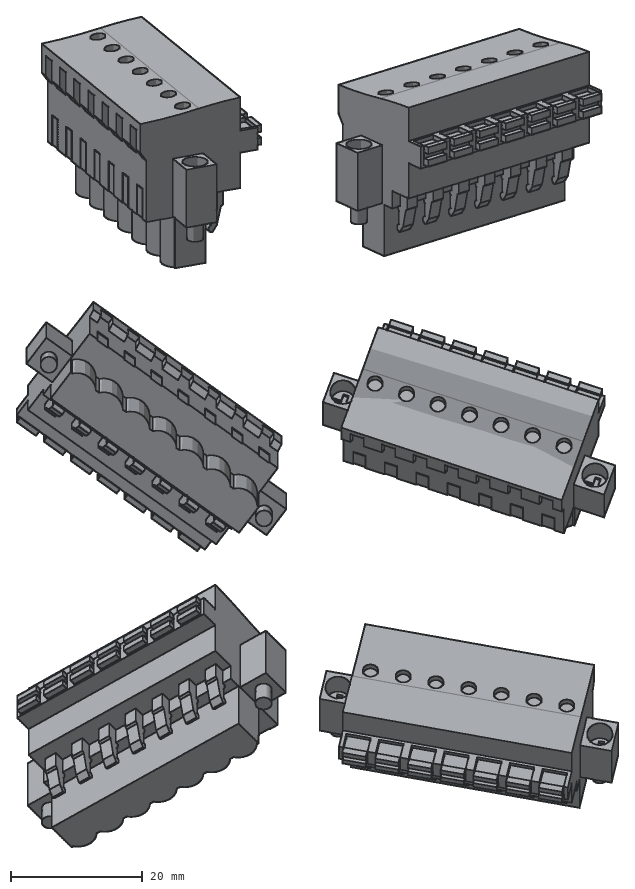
import cadquery as cq

POLES = 7
PITCH = 5.1
HOUSING_LENGTH = POLES * PITCH
TOTAL_LENGTH = 45.35

FRONT_Y = 1.0
REAR_Y = 16.8
FOOT_REAR_Y = 12.9
HOUSING_BOTTOM = 8.45
REAR_BOTTOM = 11.3
BEVEL_BOTTOM = 18.5
BEVEL_TOP = 19.95
TOP_FRONT_Z = 24.7
TOP_REAR_Z = 26.2
BEND_Y = 9.85
BEND_Z = 25.6
FRONT_SAG = 0.15

LEDGE_REAR_Y = 19.7
LEDGE_BOTTOM = 17.1
LEDGE_TOP = 20.75
POCKET_FRONT_Y = 17.25
BUTTON_WIDTH = 3.65
BUTTON_SIDE_GAP = 0.1
BUTTON_REAR_Y = 20.65
BUTTON_BOTTOM = 17.5
BUTTON_RECESS = 0.7
PRONG_HEIGHT = 1.15

OVERHANG_SLOT_WIDTH = 2.15
OVERHANG_SLOT_TOP = 23.22
FACE_SLOT_WIDTH = 2.0
FACE_SLOT_TOP = 13.35
FACE_SLOT_DEPTH = 0.15
TEST_HOLE_DIAMETER = 2.3
TEST_HOLE_Y = 8.25
TEST_HOLE_FLOOR = 24.05

PLUG_REAR_Y = 10.95
PLUG_FRONT_Y = 5.85
BARREL_FRONT_Y = 4.8
BARREL_WIDTH = 4.45

HOOK_WIDTH = 2.0
HOOK_REAR_Y = 14.6
HOOK_NOSE_Y = 12.3
HOOK_NOSE_BOTTOM = 8.15
HOOK_STEM_Y = 12.55
HOOK_STEM_TOP = 7.5
HOOK_STEM_BOTTOM = 5.35
HOOK_SHOULDER_Y = 14.25
HOOK_KNEE_Y = 13.55
HOOK_KNEE_Z = 5.2
HOOK_TIP_Y = 12.8
HOOK_TIP_Z = 4.15
HOOK_TIP_FRONT_Y = 12.2
HOOK_TIP_FRONT_Z = 4.55

FLANGE_FRONT_Y = 5.45
FLANGE_DEPTH = PITCH
FLANGE_BOTTOM = 8.57
FLANGE_TOP = 18.1
SCREW_X = (POLES + 1) * PITCH / 2
SCREW_Y = FLANGE_FRONT_Y + FLANGE_DEPTH / 2
SCREW_HEAD_DIAMETER = 3.85
SCREW_HEAD_TOP = 13.6
SCREW_HEAD_HEIGHT = 2.25
SHANK_DIAMETER = 2.5
SHANK_BOTTOM = 5.45
DRIVE_SLOT_WIDTH = 0.55
CROSS_WIDTH = 0.8
CROSS_LENGTH = 2.75
DRIVE_DEPTH = 0.7

POLE_XS = [(i - (POLES - 1) / 2) * PITCH for i in range(POLES)]
SIDES = (-1, 1)


def box(x_range, y_range, z_range):
    """Box between the given limits on each axis."""
    (x0, x1), (y0, y1), (z0, z1) = x_range, y_range, z_range
    return cq.Workplane("XY").box(x1 - x0, y1 - y0, z1 - z0, centered=False).translate((x0, y0, z0))


def centred_box(x, width, y_range, z_range):
    """Box of the given width centred on x."""
    return box((x - width / 2, x + width / 2), y_range, z_range)


def cylinder(x, y, diameter, z_bottom, z_top):
    """Upright cylinder."""
    return cq.Workplane("XY", origin=(x, y, z_bottom)).circle(diameter / 2).extrude(z_top - z_bottom)


def housing_shell():
    """Main block: front overhang with a bevel below, wavy top, rear ledge and stepped underside."""
    mid_front = (BEND_Y / 2, (TOP_FRONT_Z + BEND_Z) / 2 - FRONT_SAG)
    profile = (
        cq.Workplane("YZ")
        .moveTo(FRONT_Y, HOUSING_BOTTOM)
        .lineTo(FRONT_Y, BEVEL_BOTTOM)
        .lineTo(0, BEVEL_TOP)
        .lineTo(0, TOP_FRONT_Z)
        .threePointArc(mid_front, (BEND_Y, BEND_Z))
        .tangentArcPoint((REAR_Y, TOP_REAR_Z), relative=False)
        .lineTo(REAR_Y, LEDGE_TOP)
        .lineTo(LEDGE_REAR_Y, LEDGE_TOP)
        .lineTo(LEDGE_REAR_Y, LEDGE_BOTTOM)
        .lineTo(REAR_Y, LEDGE_BOTTOM)
        .lineTo(REAR_Y, REAR_BOTTOM)
        .lineTo(FOOT_REAR_Y, REAR_BOTTOM)
        .lineTo(FOOT_REAR_Y, HOUSING_BOTTOM)
        .close()
    )
    return profile.extrude(HOUSING_LENGTH / 2, both=True)


def plug_block():
    """Lower block whose front bulges into one rounded barrel per pole."""
    block = centred_box(0, HOUSING_LENGTH, (PLUG_FRONT_Y, PLUG_REAR_Y), (0, HOUSING_BOTTOM))
    for x in POLE_XS:
        barrel = (
            cq.Workplane("XY")
            .moveTo(x - BARREL_WIDTH / 2, PLUG_FRONT_Y)
            .threePointArc((x, BARREL_FRONT_Y), (x + BARREL_WIDTH / 2, PLUG_FRONT_Y))
            .close()
            .extrude(HOUSING_BOTTOM)
        )
        block = block.union(barrel)
    return block


def latch_hook(x):
    """Hook hanging from the rear step, tapering to a rounded tip that bends forward."""
    return (
        cq.Workplane("YZ", origin=(x - HOOK_WIDTH / 2, 0, 0))
        .moveTo(HOOK_REAR_Y, REAR_BOTTOM)
        .lineTo(HOOK_REAR_Y, HOUSING_BOTTOM)
        .lineTo(HOOK_SHOULDER_Y, HOOK_NOSE_BOTTOM)
        .lineTo(HOOK_KNEE_Y, HOOK_KNEE_Z)
        .lineTo(HOOK_TIP_Y, HOOK_TIP_Z)
        .threePointArc((HOOK_TIP_FRONT_Y, HOOK_TIP_FRONT_Z), (HOOK_STEM_Y, HOOK_STEM_BOTTOM))
        .lineTo(HOOK_STEM_Y, HOOK_STEM_TOP)
        .lineTo(HOOK_NOSE_Y, HOOK_NOSE_BOTTOM)
        .lineTo(HOOK_NOSE_Y, HOUSING_BOTTOM)
        .lineTo(FOOT_REAR_Y, HOUSING_BOTTOM)
        .lineTo(FOOT_REAR_Y, REAR_BOTTOM)
        .close()
        .extrude(HOOK_WIDTH)
    )


def screw_flange(side):
    """Block on one end of the housing that carries a screw."""
    x_limits = sorted((side * HOUSING_LENGTH / 2, side * TOTAL_LENGTH / 2))
    y_limits = (FLANGE_FRONT_Y, FLANGE_FRONT_Y + FLANGE_DEPTH)
    return box(x_limits, y_limits, (FLANGE_BOTTOM, FLANGE_TOP))


def screw_envelope(side, head_top):
    """Plain screw of shank and head, with the head carried up to the given height."""
    x = side * SCREW_X
    head_bottom = SCREW_HEAD_TOP - SCREW_HEAD_HEIGHT
    shank = cylinder(x, SCREW_Y, SHANK_DIAMETER, SHANK_BOTTOM, head_bottom)
    return shank.union(cylinder(x, SCREW_Y, SCREW_HEAD_DIAMETER, head_bottom, head_top))


def pole_cuts(x):
    """Everything cut from the housing at one pole."""
    overhang_slot = centred_box(x, OVERHANG_SLOT_WIDTH, (0, FRONT_Y), (BEVEL_BOTTOM, OVERHANG_SLOT_TOP))
    face_slot = centred_box(
        x, FACE_SLOT_WIDTH, (FRONT_Y, FRONT_Y + FACE_SLOT_DEPTH), (HOUSING_BOTTOM, FACE_SLOT_TOP)
    )
    test_hole = cylinder(x, TEST_HOLE_Y, TEST_HOLE_DIAMETER, TEST_HOLE_FLOOR, TOP_REAR_Z)
    pocket = centred_box(
        x, BUTTON_WIDTH + 2 * BUTTON_SIDE_GAP, (POCKET_FRONT_Y, LEDGE_REAR_Y), (BUTTON_BOTTOM, LEDGE_TOP)
    )
    return overhang_slot.union(face_slot).union(test_hole).union(pocket)


def make_housing():
    """Housing with its plug block, hooks and flanges."""
    body = housing_shell().union(plug_block())
    for side in SIDES:
        body = body.union(screw_flange(side))
        body = body.cut(screw_envelope(side, FLANGE_TOP))
    for x in POLE_XS:
        body = body.union(latch_hook(x))
        body = body.cut(pole_cuts(x))
    return body


def make_button(x):
    """Push button seated in its ledge pocket, with two prongs standing out at the rear."""
    base = centred_box(
        x, BUTTON_WIDTH, (POCKET_FRONT_Y, LEDGE_REAR_Y), (BUTTON_BOTTOM, LEDGE_TOP - BUTTON_RECESS)
    )
    prong_y = (LEDGE_REAR_Y, BUTTON_REAR_Y)
    lower = centred_box(x, BUTTON_WIDTH, prong_y, (BUTTON_BOTTOM, BUTTON_BOTTOM + PRONG_HEIGHT))
    upper = centred_box(x, BUTTON_WIDTH, prong_y, (LEDGE_TOP - PRONG_HEIGHT, LEDGE_TOP))
    return base.union(lower).union(upper)


def make_screw(side):
    """Flange screw with a combined slot and cross drive in its head."""
    x = side * SCREW_X
    drive_z = (SCREW_HEAD_TOP - DRIVE_DEPTH, SCREW_HEAD_TOP)
    slot = centred_box(
        x, SCREW_HEAD_DIAMETER, (SCREW_Y - DRIVE_SLOT_WIDTH / 2, SCREW_Y + DRIVE_SLOT_WIDTH / 2), drive_z
    )
    cross = centred_box(x, CROSS_WIDTH, (SCREW_Y - CROSS_LENGTH / 2, SCREW_Y + CROSS_LENGTH / 2), drive_z)
    return screw_envelope(side, SCREW_HEAD_TOP).cut(slot).cut(cross)


housing = make_housing()
buttons = [make_button(x) for x in POLE_XS]
screws = [make_screw(side) for side in SIDES]

result = cq.Compound.makeCompound(
    [housing.val(), *[button.val() for button in buttons], *[screw.val() for screw in screws]]
)